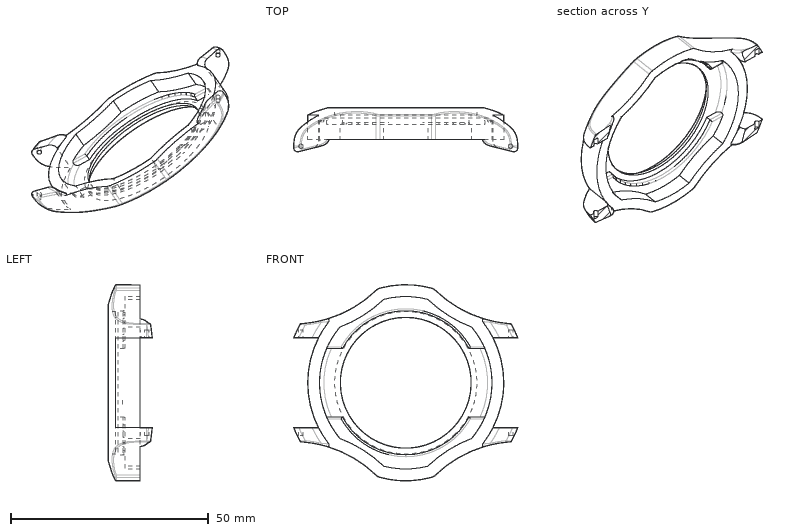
import cadquery as cq
import math


case_radius = 24.8
back_y = 8.1
back_flat_radius = 19.8
wall = 3.0
cavity_radius = case_radius - wall

dome_start = (back_flat_radius, back_y)
dome_at_ring = (case_radius, 6.2)
dome_at_lug = (28.2, 3.75)
dome_at_lug_tip = (30.52, -1.6)
dome_start_direction = (1, -0.25)
dome_end_direction = (0, -1)

waist_radius = 30.0
waist_center_x = 28.4
waist_center_z = 44.9
waist_lowest_z = waist_center_z - waist_radius
waist_corner_fillet = 2.3
outline_edge_fillet = 0.42

lug_inner_z = 11.35
lug_bottom_slope = 0.25
lug_bottom_x = 27.0
lug_bottom_y = -3.03
lug_root_fillet = 1.85
lug_tip_fillet = 1.0
bar_hole_diameter = 1.1
bar_hole_depth = 2.0
bar_hole_x = 26.5
bar_hole_y = -1.65

ledge_y = 3.8
ledge_radius = 18.2
ledge_end_z = 8.6
ledge_edge_fillet = 0.5
floor_y = 5.55
floor_fillet = 1.1
opening_radius = 16.5
seat_y = 6.3
seat_radius = 18.0

blank_front_y = -5.0
blank_reach = 32.0
tolerance = 0.01

signs = (1, -1)
quarters = [(sx, sz) for sx in signs for sz in signs]


def cylinder(radius, y_from, y_to, x=0, z=0):
    base = cq.Vector(x, y_from, z)
    return cq.Workplane(cq.Solid.makeCylinder(radius, y_to - y_from, base, cq.Vector(0, 1, 0)))


def block(half_x, half_z, y_from, y_to):
    solid = cq.Workplane("XY").box(2 * half_x, y_to - y_from, 2 * half_z)
    return solid.translate((0, (y_from + y_to) / 2, 0))


def waist_corner():
    """Point, in the +X +Z quarter, where the ring circle meets the waist arc."""
    distance = math.hypot(waist_center_x, waist_center_z)
    along = (case_radius**2 - waist_radius**2 + distance**2) / (2 * distance)
    angle = math.atan2(waist_center_z, waist_center_x) + math.acos(along / case_radius)
    return case_radius * math.cos(angle), case_radius * math.sin(angle)


def waist_middle(corner_x, corner_z):
    """Point halfway along the waist arc, from the corner to the lowest point of the arc."""
    start_angle = math.atan2(corner_z - waist_center_z, corner_x - waist_center_x) % (2 * math.pi)
    lowest_angle = 1.5 * math.pi
    angle = (start_angle + lowest_angle) / 2
    return waist_center_x + waist_radius * math.cos(angle), waist_center_z + waist_radius * math.sin(angle)


def outline_prism():
    """The waisted outline along the full depth; its ends reach beyond the lug tips."""
    corner_x, corner_z = waist_corner()
    middle_x, middle_z = waist_middle(corner_x, corner_z)
    sketch = cq.Workplane("XZ", origin=(0, back_y, 0)).moveTo(blank_reach, -waist_lowest_z)
    for s in signs:
        sketch = (
            sketch.lineTo(s * blank_reach, s * waist_lowest_z)
            .lineTo(s * waist_center_x, s * waist_lowest_z)
            .threePointArc((s * middle_x, s * middle_z), (s * corner_x, s * corner_z))
            .threePointArc((0, s * case_radius), (-s * corner_x, s * corner_z))
            .threePointArc((-s * middle_x, s * middle_z), (-s * waist_center_x, s * waist_lowest_z))
            .lineTo(-s * blank_reach, s * waist_lowest_z)
        )
    prism = sketch.close().extrude(back_y - blank_front_y)
    corner_edges = prism.edges("|Y").filter(lambda edge: abs(edge.Center().x) < corner_x + tolerance)
    return corner_edges.fillet(waist_corner_fillet)


def dome():
    return (
        cq.Workplane("XY")
        .moveTo(0, blank_front_y)
        .lineTo(0, back_y)
        .lineTo(*dome_start)
        .spline(
            [dome_at_ring, dome_at_lug, dome_at_lug_tip],
            tangents=[dome_start_direction, dome_end_direction],
            includeCurrent=True,
        )
        .lineTo(dome_at_lug_tip[0], blank_front_y)
        .close()
        .revolve(360, (0, 0, 0), (0, 1, 0))
    )


def case_blank():
    """Domed, waisted solid with the gaps between the lugs cut away."""
    gap = block(blank_reach, lug_inner_z, blank_front_y, back_y)
    gap = gap.cut(cylinder(case_radius, blank_front_y, back_y))
    return dome().intersect(outline_prism()).cut(gap)


def space_under_lugs(s):
    """Wedge below the sloping lug bottoms on the +X (s = 1) or -X (s = -1) side."""
    level_x = lug_bottom_x + lug_bottom_y / lug_bottom_slope
    far_y = lug_bottom_y - lug_bottom_slope * (blank_reach - lug_bottom_x)
    lowest_y = far_y + blank_front_y
    corners = [(level_x, 0), (blank_reach, far_y), (blank_reach, lowest_y), (level_x, lowest_y)]
    wedge = cq.Workplane("XY").polyline([(s * x, y) for x, y in corners]).close()
    return wedge.extrude(blank_reach, both=True)


def lug_bottom_edge(radius, sx, sz):
    """Selector of the lug bottom edge that lies about this far from the axis."""
    z = (lug_inner_z + waist_lowest_z) / 2
    x = math.sqrt(radius**2 - z**2)
    y = lug_bottom_y - lug_bottom_slope * (x - lug_bottom_x)
    return cq.selectors.NearestToPointSelector((sx * x, y, sz * z))


def lug_feet(blank):
    """The four lug ends that stand out in front of the rim, rounded at root and tip."""
    feet = blank.cut(cylinder(case_radius, blank_front_y, back_y))
    for s in signs:
        feet = feet.cut(space_under_lugs(s))
    for sx, sz in quarters:
        feet = feet.edges(lug_bottom_edge(case_radius, sx, sz)).fillet(lug_root_fillet)
        feet = feet.edges(lug_bottom_edge(dome_at_lug_tip[0], sx, sz)).fillet(lug_tip_fillet)
    return feet.intersect(block(blank_reach, blank_reach, blank_front_y, 0))


def round_outline_edges(case):
    """Round the edges where the outline meets the dome and the lug bottoms; the rim stays sharp."""

    def is_outline_edge(edge):
        box = edge.BoundingBox()
        clear_of_lug_gap = min(abs(box.zmin), abs(box.zmax)) > waist_lowest_z - tolerance
        starts_at_rim = abs(box.ymin) < tolerance
        on_back_flat = box.ymin > back_y - tolerance
        return clear_of_lug_gap and not starts_at_rim and not on_back_flat

    return case.edges().filter(is_outline_edge).fillet(outline_edge_fillet)


def cavity():
    """Front cavity: its wall runs parallel to the outline."""
    hollow = cylinder(cavity_radius, 0, ledge_y)
    for sx, sz in quarters:
        waist = cylinder(waist_radius + wall, 0, ledge_y, sx * waist_center_x, sz * waist_center_z)
        hollow = hollow.cut(waist)
    return hollow


def recess():
    """Pocket behind the cavity, widened between the ledge ends and rounded along its side floor."""
    sides = cylinder(cavity_radius, 0, floor_y).intersect(block(case_radius, ledge_end_z, 0, floor_y))
    sides = sides.faces(">Y").edges("%CIRCLE").fillet(floor_fillet)
    return sides.union(cylinder(ledge_radius, 0, floor_y))


def round_ledge_edges(case):
    """Round the ledge along its inner arcs and its straight ends."""

    def is_ledge_edge(edge):
        box = edge.BoundingBox()
        at_ledge = abs(box.ymin - ledge_y) < tolerance and abs(box.ymax - ledge_y) < tolerance
        start = edge.startPoint()
        on_inner_arc = abs(math.hypot(start.x, start.z) - ledge_radius) < tolerance
        is_straight_end = edge.geomType() == "LINE"
        return at_ledge and (on_inner_arc or is_straight_end)

    return case.edges().filter(is_ledge_edge).fillet(ledge_edge_fillet)


def cut_opening(case):
    """Round window, with a wider seat sunk into the back."""
    window = cylinder(opening_radius, floor_y, back_y)
    seat = cylinder(seat_radius, seat_y, back_y)
    return case.cut(window).cut(seat)


def cut_bar_holes(case):
    """Blind spring-bar holes in the inner faces of the lugs."""
    for sx, sz in quarters:
        base = cq.Vector(sx * bar_hole_x, bar_hole_y, sz * lug_inner_z)
        hole = cq.Solid.makeCylinder(bar_hole_diameter / 2, bar_hole_depth, base, cq.Vector(0, 0, sz))
        case = case.cut(cq.Workplane(hole))
    return case


blank = case_blank()
ring = blank.cut(block(blank_reach, blank_reach, blank_front_y, 0))
case = round_outline_edges(ring.union(lug_feet(blank)).clean())
case = round_ledge_edges(case.cut(cavity()).cut(recess()))
result = cut_bar_holes(cut_opening(case))